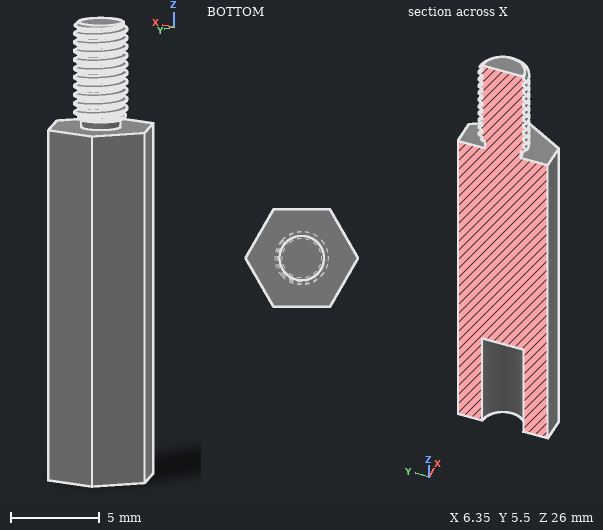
import cadquery as cq

TOTAL_LENGTH = 26.0
STUD_LENGTH = TOTAL_LENGTH * 3 / 13
BODY_LENGTH = TOTAL_LENGTH - STUD_LENGTH
ACROSS_CORNERS = 6.35

NECK_DIAMETER = 2.2
NECK_LENGTH = 0.47
MAJOR_DIAMETER = 3.0
MINOR_DIAMETER = 2.5
END_CHAMFER = (MAJOR_DIAMETER - MINOR_DIAMETER) / 2

TURNS_PER_STUD = 12
EXTRA_TURNS = 2
PITCH = STUD_LENGTH / TURNS_PER_STUD
RIDGE_BASE = PITCH * 3 / 4
RIDGE_CREST = PITCH / 8
RIDGE_SINK = 0.03
CREST_BELOW_TOP = 0.73
ENVELOPE_GAP = 0.03

BORE_DIAMETER = MINOR_DIAMETER
BORE_DEPTH = STUD_LENGTH


def make_body():
    """Hexagonal spacer with two corners on the X axis and a bore in its lower end."""
    body = cq.Workplane("XY").polygon(6, ACROSS_CORNERS).extrude(BODY_LENGTH)
    bore = cq.Workplane("XY").circle(BORE_DIAMETER / 2).extrude(BORE_DEPTH)
    return body.cut(bore)


def make_neck():
    """Plain undercut between the hexagon and the thread."""
    return cq.Workplane("XY", origin=(0, 0, BODY_LENGTH)).circle(NECK_DIAMETER / 2).extrude(NECK_LENGTH)


def make_ridge():
    """Helical ridge, sunk slightly into the core, that runs past both ends of the thread."""
    inner_radius = MINOR_DIAMETER / 2 - RIDGE_SINK
    crest_radius = MAJOR_DIAMETER / 2
    flank_slope = (RIDGE_BASE - RIDGE_CREST) / (MAJOR_DIAMETER - MINOR_DIAMETER)
    half_inner = RIDGE_BASE / 2 + flank_slope * RIDGE_SINK
    half_crest = RIDGE_CREST / 2

    start_z = TOTAL_LENGTH - CREST_BELOW_TOP - TURNS_PER_STUD * PITCH
    path = cq.Wire.makeHelix(
        PITCH, (TURNS_PER_STUD + EXTRA_TURNS) * PITCH, inner_radius, center=cq.Vector(0, 0, start_z)
    )
    profile = cq.Workplane("XZ").polyline([
        (inner_radius, start_z - half_inner),
        (crest_radius, start_z - half_crest),
        (crest_radius, start_z + half_crest),
        (inner_radius, start_z + half_inner),
    ]).close()
    return profile.sweep(cq.Workplane(obj=path), isFrenet=True)


def make_thread():
    """Cylindrical core with the ridge trimmed by conical lead-ins at both ends."""
    length = STUD_LENGTH - NECK_LENGTH
    base = cq.Workplane("XY", origin=(0, 0, BODY_LENGTH + NECK_LENGTH))
    core = base.circle(MINOR_DIAMETER / 2).extrude(length)
    envelope = base.circle(MAJOR_DIAMETER / 2 + ENVELOPE_GAP).extrude(length)
    envelope = envelope.faces("<Z or >Z").chamfer(END_CHAMFER + ENVELOPE_GAP)
    return core.union(make_ridge().intersect(envelope))


result = make_body().union(make_neck()).union(make_thread())